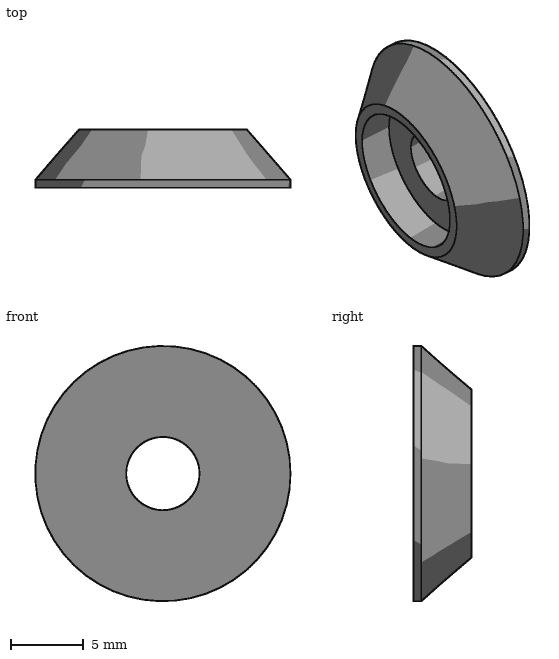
import cadquery as cq

outer_diameter = 17.5
small_face_diameter = 11.5
hole_diameter = 5.0
counterbore_diameter = 10.0
thickness = 4.0
rim_thickness = 0.55
floor_thickness = 1.7

outer_radius = outer_diameter / 2
small_face_radius = small_face_diameter / 2
counterbore_depth = thickness - floor_thickness


def cylinder(diameter, start_y, length):
    """Cylinder about the Y axis, running from start_y toward +Y."""
    base = cq.Workplane("XZ", origin=(0, start_y, 0))
    return base.circle(diameter / 2).extrude(-length)


def conical_body():
    """Short cylindrical rim that tapers to the small face, as a revolved half section."""
    half_section = (
        cq.Workplane("XY")
        .lineTo(outer_radius, 0)
        .lineTo(outer_radius, rim_thickness)
        .lineTo(small_face_radius, thickness)
        .lineTo(0, thickness)
        .close()
    )
    return half_section.revolve(360, (0, 0, 0), (0, 1, 0))


through_hole = cylinder(hole_diameter, 0, thickness)
counterbore = cylinder(counterbore_diameter, floor_thickness, counterbore_depth)

result = conical_body().cut(through_hole).cut(counterbore)